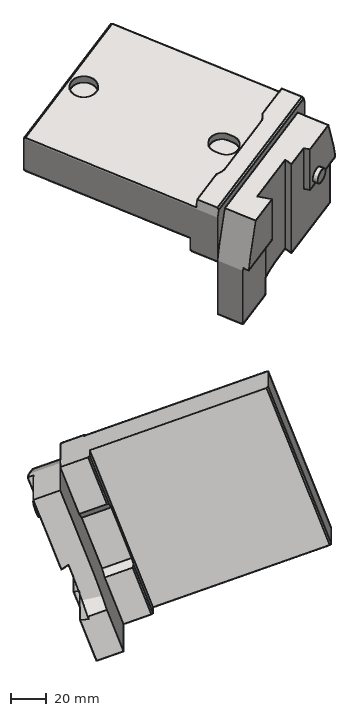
import cadquery as cq
import math

length = 146.5
width = 100.0
height = 85.0
half_width = width / 2
edge_chamfer = 1.0

plate_end_x = 123.8
plate_bottom_z = 53.0
plate_top_z = 79.8
side_break_z = plate_top_z - edge_chamfer
side_slope = math.radians(15)
lip_start_x = 109.9
foot_start_x = 106.2
foot_bottom_z = 42.8

relief_depth = 2.2
relief_half_width = 26.2
relief_run_out = 6.5

notch_top_z = 46.9
notch_half_width = 16.1

pocket_depth = 5.1
round_pocket_x = 10.5
round_pocket_diameter = 16.0
long_pocket_x = 100.0
long_pocket_length = 18.0
long_pocket_width = 15.1

flange_end_x = 139.9
flange_short_z = 6.2
flange_arc_run = 23.6
block_end_x = 143.4
block_step_z = 45.5
taper_start_z = 43.8
taper_break_z = 55.5
taper_break_inset = 2.2
block_top_inset = 8.4

recess_floor_x = 135.2
recess_slope = math.radians(15)
step_edge_y = 20.5
slot_edge_y = 5.5
slot_far_y = -23.0

pin_diameter = 9.2
pin_y = 28.3
pin_z = 51.4


def make_plate():
    """Side profile with lip and foot, swept over the width, with sloping upper flanks."""
    c = edge_chamfer
    profile = [
        (0, plate_bottom_z + c),
        (0, plate_top_z - c),
        (c, plate_top_z),
        (lip_start_x, plate_top_z),
        (lip_start_x, height),
        (plate_end_x - c, height),
        (plate_end_x, height - c),
        (plate_end_x, foot_bottom_z),
        (foot_start_x + c, foot_bottom_z),
        (foot_start_x, foot_bottom_z + c),
        (foot_start_x, plate_bottom_z),
        (c, plate_bottom_z),
    ]
    body = cq.Workplane("XZ").polyline(profile).close().extrude(half_width, both=True)
    top_half_width = half_width - (height - side_break_z) * math.tan(side_slope)
    section = [
        (-half_width, foot_bottom_z),
        (half_width, foot_bottom_z),
        (half_width, side_break_z),
        (top_half_width, height),
        (-top_half_width, height),
        (-half_width, side_break_z),
    ]
    return body.intersect(cq.Workplane("YZ").polyline(section).close().extrude(plate_end_x))


def make_lip_relief():
    """Shallow recess whose ends run out in arcs tangent to its floor."""
    floor_x = lip_start_x + relief_depth
    floor_half_width = relief_half_width - relief_run_out
    radius = (relief_run_out**2 + relief_depth**2) / (2 * relief_depth)
    half_angle = math.asin(relief_run_out / radius) / 2
    mid_x = floor_x - radius * (1 - math.cos(half_angle))
    mid_y = floor_half_width + radius * math.sin(half_angle)
    return (
        cq.Workplane("XY", origin=(0, 0, plate_top_z))
        .moveTo(lip_start_x, -relief_half_width)
        .threePointArc((mid_x, -mid_y), (floor_x, -floor_half_width))
        .lineTo(floor_x, floor_half_width)
        .threePointArc((mid_x, mid_y), (lip_start_x, relief_half_width))
        .close()
        .extrude(height - plate_top_z)
    )


def make_foot_notch():
    """Notch with 45 degree sides through the underside of the foot."""
    bottom_half_width = notch_half_width + notch_top_z - foot_bottom_z
    outline = [
        (-bottom_half_width, foot_bottom_z),
        (-notch_half_width, notch_top_z),
        (notch_half_width, notch_top_z),
        (bottom_half_width, foot_bottom_z),
    ]
    return (
        cq.Workplane("YZ", origin=(foot_start_x, 0, 0))
        .polyline(outline)
        .close()
        .extrude(plate_end_x - foot_start_x)
    )


def make_pockets():
    """One round and one elongated blind pocket on the centre line."""
    plane = cq.Workplane("XY", origin=(0, 0, plate_top_z))
    round_pocket = plane.center(round_pocket_x, 0).circle(round_pocket_diameter / 2).extrude(-pocket_depth)
    long_pocket = (
        plane.center(long_pocket_x, 0)
        .slot2D(long_pocket_length, long_pocket_width)
        .extrude(-pocket_depth)
    )
    return round_pocket.union(long_pocket)


def make_flange_and_block():
    """Flange with a curved lower edge, tapering into the block, which overhangs it at the back."""
    radius = (flange_arc_run**2 + flange_short_z**2) / (2 * flange_short_z)
    half_angle = math.asin(flange_arc_run / radius) / 2
    arc_mid = (-radius * math.sin(half_angle), flange_short_z - radius * (1 - math.cos(half_angle)))
    break_half_width = half_width - taper_break_inset
    top_half_width = half_width - block_top_inset
    body = (
        cq.Workplane("YZ", origin=(plate_end_x, 0, 0))
        .moveTo(-half_width, 0)
        .lineTo(-flange_arc_run, 0)
        .threePointArc(arc_mid, (0, flange_short_z))
        .lineTo(half_width, flange_short_z)
        .lineTo(half_width, taper_start_z)
        .lineTo(break_half_width, taper_break_z)
        .lineTo(top_half_width, side_break_z)
        .lineTo(-top_half_width, side_break_z)
        .lineTo(-break_half_width, taper_break_z)
        .lineTo(-half_width, taper_start_z)
        .close()
        .extrude(block_end_x - plate_end_x)
    )
    overhang_relief = cq.Workplane("XY").box(
        block_end_x - flange_end_x, width, block_step_z, centered=(False, True, False)
    ).translate((flange_end_x, 0, 0))
    return body.cut(overhang_relief)


def make_recess():
    """Step and undercut slot running the full height of the block and flange."""
    slope = math.tan(recess_slope)
    step_depth = block_end_x - flange_end_x
    slot_depth = flange_end_x - recess_floor_x
    full_depth = block_end_x - recess_floor_x
    outline = [
        (block_end_x, step_edge_y),
        (flange_end_x, step_edge_y - step_depth * slope),
        (flange_end_x, slot_edge_y),
        (recess_floor_x, slot_edge_y + slot_depth * slope),
        (recess_floor_x, slot_far_y - full_depth * slope),
        (block_end_x, slot_far_y),
    ]
    return cq.Workplane("XY").polyline(outline).close().extrude(height)


def make_pin():
    """Short round pin standing out of the back face."""
    return (
        cq.Workplane("YZ", origin=(flange_end_x, pin_y, pin_z))
        .circle(pin_diameter / 2)
        .extrude(length - flange_end_x)
    )


plate = make_plate().cut(make_lip_relief()).cut(make_foot_notch()).cut(make_pockets())
back = make_flange_and_block().cut(make_recess()).union(make_pin())
result = plate.union(back)